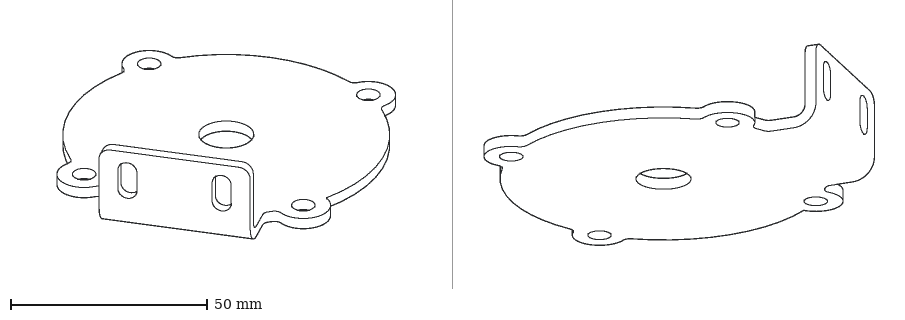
import cadquery as cq
import math

thickness = 3.0
plate_radius = 41.7
centre_hole_diameter = 14.0

ear_radius = 7.0
ear_hole_diameter = 6.0
first_ear_angle = 45
second_ear_angle = 133.4
ear_angles = [
    first_ear_angle,
    second_ear_angle,
    first_ear_angle + 180,
    second_ear_angle + 180,
]
corner_fillet = 2.0

overall_length = 91.7
tab_width = 40.0
tab_height = 23.0
tab_front = plate_radius - overall_length
bend_inner_radius = 3.0
bend_outer_radius = bend_inner_radius + thickness
tab_corner_radius = 3.0

slot_spacing = 24.9
slot_width = 5.0
slot_length = 10.4
slot_height = 14.8


def rim_point(angle):
    """Point on the plate rim at an angle in degrees from +X."""
    turn = math.radians(angle)
    return plate_radius * math.cos(turn), plate_radius * math.sin(turn)


def disc(radius):
    return cq.Workplane("XY").circle(radius).extrude(thickness)


def fillet_corner(body, point):
    """Round the upright plate edge standing at an XY point."""
    edge = cq.selectors.NearestToPointSelector((*point, thickness / 2))
    return body.edges("|Z").edges(edge).fillet(corner_fillet)


def make_tab():
    """L-shaped strip running from the plate centre, around the bend and upward."""
    bend_y = tab_front + bend_outer_radius
    diagonal = math.sqrt(0.5)
    bend_z = bend_outer_radius
    tab = (
        cq.Workplane("YZ")
        .moveTo(0, 0)
        .lineTo(bend_y, 0)
        .threePointArc(
            (bend_y - bend_outer_radius * diagonal, bend_z - bend_outer_radius * diagonal),
            (tab_front, bend_z),
        )
        .lineTo(tab_front, tab_height)
        .lineTo(tab_front + thickness, tab_height)
        .lineTo(tab_front + thickness, bend_z)
        .threePointArc(
            (bend_y - bend_inner_radius * diagonal, bend_z - bend_inner_radius * diagonal),
            (bend_y, thickness),
        )
        .lineTo(0, thickness)
        .close()
        .extrude(tab_width / 2, both=True)
    )
    tab = tab.faces(">Z").edges("|Y").fillet(tab_corner_radius)
    slots = (
        cq.Workplane("XZ", origin=(0, tab_front, slot_height))
        .pushPoints([(-slot_spacing / 2, 0), (slot_spacing / 2, 0)])
        .slot2D(slot_length, slot_width, 90)
        .extrude(-thickness)
    )
    return tab.cut(slots)


body = disc(plate_radius).union(make_tab())
for angle in ear_angles:
    body = body.union(disc(ear_radius).translate((*rim_point(angle), 0)))

ear_half_angle = math.degrees(2 * math.asin(ear_radius / (2 * plate_radius)))
sharp_corner_angle = ear_angles[-1] + ear_half_angle
for ear_angle in ear_angles:
    for corner_angle in (ear_angle - ear_half_angle, ear_angle + ear_half_angle):
        if corner_angle != sharp_corner_angle:
            body = fillet_corner(body, rim_point(corner_angle))

tab_root_y = -math.sqrt(plate_radius**2 - (tab_width / 2) ** 2)
for side in (-1, 1):
    body = fillet_corner(body, (side * tab_width / 2, tab_root_y))

holes = disc(centre_hole_diameter / 2)
for angle in ear_angles:
    holes = holes.union(disc(ear_hole_diameter / 2).translate((*rim_point(angle), 0)))

result = body.cut(holes)